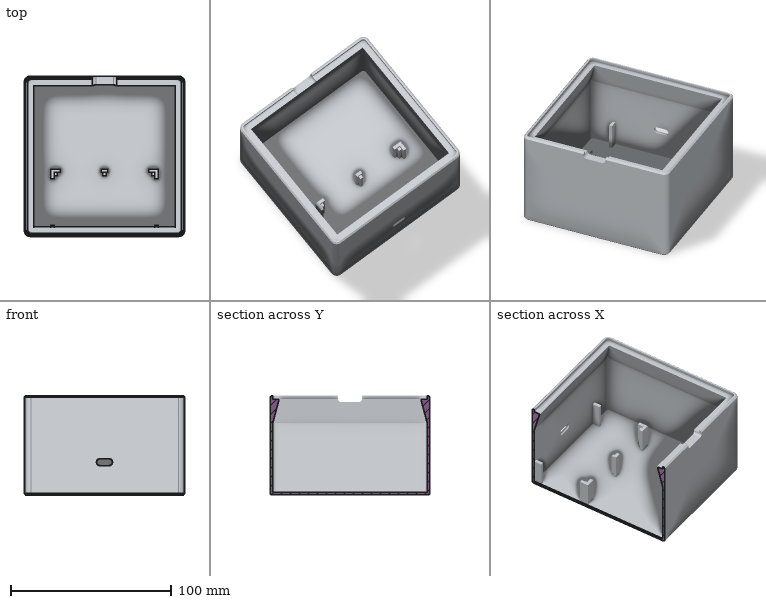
import cadquery as cq

WIDTH = 100.0
HEIGHT = 62.0
WALL = 2.0
FLOOR = 2.0
CORNER_RADIUS = 4.0
EDGE_CHAMFER = 1.0

SEAT_DEPTH = 2.0
LEDGE_WIDTH = 4.0
LEDGE_SLOPE_HEIGHT = 15.0

NOTCH_WIDTH = 15.0
NOTCH_DEPTH = 4.0
NOTCH_RADIUS = 2.0

SLOT_LENGTH = 10.0
SLOT_HEIGHT = 4.2
SLOT_CENTER_Z = 20.5

BOARD_WIDTH = 63.0
BOARD_THICKNESS = 1.6
BOARD_REAR_Y = -10.0
GUIDE_THICKNESS = 2.0
GUIDE_LENGTH = 6.0
FRONT_GUIDE_LENGTH = 5.0
CENTER_GUIDE_WIDTH = 4.0
POST_SIZE = 2.0

CAVITY_WIDTH = WIDTH - 2 * WALL
CAVITY_RADIUS = CORNER_RADIUS - WALL
OPENING_WIDTH = CAVITY_WIDTH - 2 * LEDGE_WIDTH
SEAT_Z = HEIGHT - SEAT_DEPTH
SLOPE_START_Z = SEAT_Z - LEDGE_SLOPE_HEIGHT
GUIDE_TOP_Z = SLOT_CENTER_Z - SLOT_HEIGHT / 2
POST_TOP_Z = GUIDE_TOP_Z - BOARD_THICKNESS
INNER_FACE = CAVITY_WIDTH / 2
GUIDE_REAR_Y = BOARD_REAR_Y + GUIDE_THICKNESS
POST_FRONT_Y = BOARD_REAR_Y - POST_SIZE


def rounded_block(width, radius, bottom_z, top_z):
    """Square block, centred in X and Y, with rounded vertical corners."""
    block = cq.Workplane("XY").workplane(offset=bottom_z).rect(width, width).extrude(top_z - bottom_z)
    return block.edges("|Z").fillet(radius)


def box_between(x_range, y_range, top_z):
    """Box standing on the floor, up to top_z, between two X and two Y positions, given in any order."""
    x_min, x_max = sorted(x_range)
    y_min, y_max = sorted(y_range)
    block = cq.Workplane("XY").box(x_max - x_min, y_max - y_min, top_z - FLOOR, centered=False)
    return block.translate((x_min, y_min, FLOOR))


def make_shell():
    """Solid outer body with chamfered top and bottom edges."""
    return rounded_block(WIDTH, CORNER_RADIUS, 0, HEIGHT).faces("<Z or >Z").chamfer(EDGE_CHAMFER)


def make_cavity():
    """Inner space that narrows upward to the ledge opening and widens again at the lid seat."""
    rounded = rounded_block(CAVITY_WIDTH, CAVITY_RADIUS, FLOOR, SEAT_Z)
    straight = (
        cq.Workplane("XY").workplane(offset=FLOOR)
        .rect(CAVITY_WIDTH, CAVITY_WIDTH).extrude(SLOPE_START_Z - FLOOR)
    )
    sloped = (
        cq.Workplane("XY").workplane(offset=SLOPE_START_Z)
        .rect(CAVITY_WIDTH, CAVITY_WIDTH)
        .workplane(offset=LEDGE_SLOPE_HEIGHT)
        .rect(OPENING_WIDTH, OPENING_WIDTH)
        .loft(ruled=True)
    )
    seat = rounded_block(CAVITY_WIDTH, CAVITY_RADIUS, SEAT_Z, HEIGHT)
    return rounded.intersect(straight.union(sloped)).union(seat)


def make_notch():
    """Cutter for the finger notch, rounded where its sides meet its floor."""
    length = WIDTH / 2
    notch = cq.Workplane("XY").box(NOTCH_WIDTH, length, NOTCH_DEPTH, centered=(True, False, False))
    notch = notch.edges("|Y and <Z").fillet(NOTCH_RADIUS)
    return notch.translate((0, 0, HEIGHT - NOTCH_DEPTH))


def make_connector_slot():
    """Cutter for the round-ended slot in the front wall."""
    return (
        cq.Workplane("XZ", origin=(0, -INNER_FACE, SLOT_CENTER_Z))
        .slot2D(SLOT_LENGTH, SLOT_HEIGHT).extrude(WALL)
    )


def make_corner_support(side):
    """L-shaped guide with an inner post at a rear board corner, plus the front side guide."""
    inner_x = side * BOARD_WIDTH / 2
    outer_x = inner_x + side * GUIDE_THICKNESS
    rear_arm = box_between((outer_x, outer_x - side * GUIDE_LENGTH), (BOARD_REAR_Y, GUIDE_REAR_Y), GUIDE_TOP_Z)
    side_arm = box_between((outer_x, inner_x), (GUIDE_REAR_Y - GUIDE_LENGTH, GUIDE_REAR_Y), GUIDE_TOP_Z)
    post = box_between((inner_x, inner_x - side * POST_SIZE), (POST_FRONT_Y, BOARD_REAR_Y), POST_TOP_Z)
    front_guide = box_between(
        (outer_x, inner_x), (-INNER_FACE, -INNER_FACE + FRONT_GUIDE_LENGTH), GUIDE_TOP_Z
    )
    return rear_arm.union(side_arm).union(post).union(front_guide)


def make_center_support():
    """Straight guide and post at the middle of the board's rear edge."""
    half_guide = CENTER_GUIDE_WIDTH / 2
    half_post = POST_SIZE / 2
    guide = box_between((-half_guide, half_guide), (BOARD_REAR_Y, GUIDE_REAR_Y), GUIDE_TOP_Z)
    post = box_between((-half_post, half_post), (POST_FRONT_Y, BOARD_REAR_Y), POST_TOP_Z)
    return guide.union(post)


result = make_shell().cut(make_cavity()).cut(make_notch()).cut(make_connector_slot())
supports = make_center_support()
for side in (-1, 1):
    supports = supports.union(make_corner_support(side))
result = result.union(supports)